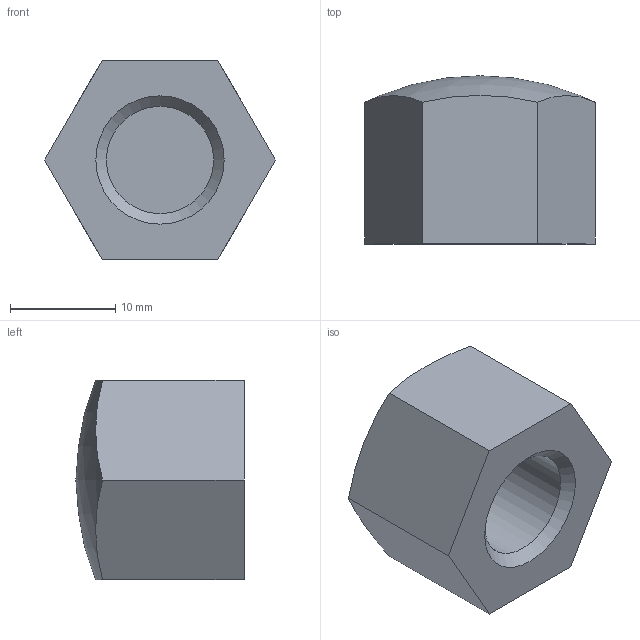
import cadquery as cq
import math

across_flats = 19.0
across_corners = across_flats / math.cos(math.radians(30))
height = 16.0
dome_radius = 25.0

bore_diameter = 10.2
bore_depth = 12.0
mouth_diameter = 12.2
mouth_depth = (mouth_diameter - bore_diameter) / 2


def hex_body():
    """Hexagonal prism with two corners on the X axis and flats facing +Z and -Z."""
    return cq.Workplane("XZ").polygon(6, across_corners).extrude(-height)


def dome_envelope():
    """Sphere touching the closed end; it rounds the +Y end of the prism."""
    return cq.Workplane("XY").sphere(dome_radius).translate((0, height - dome_radius, 0))


def blind_bore():
    """Flat-bottomed bore with a countersunk mouth, revolved about the Y axis."""
    bore_radius = bore_diameter / 2
    profile = (
        cq.Workplane("XY")
        .moveTo(0, 0)
        .lineTo(mouth_diameter / 2, 0)
        .lineTo(bore_radius, mouth_depth)
        .lineTo(bore_radius, bore_depth)
        .lineTo(0, bore_depth)
        .close()
    )
    return profile.revolve(360, (0, 0, 0), (0, 1, 0))


result = hex_body().intersect(dome_envelope()).cut(blind_bore())